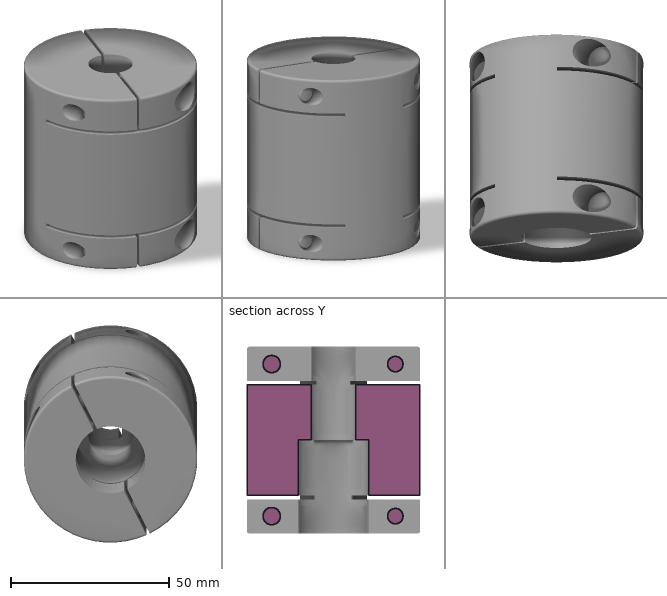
import cadquery as cq

length = 59.0
outer_diameter = 54.8
rim_fillet = 0.8

upper_bore_diameter = 14.0
lower_bore_diameter = 22.0

clamp_height = 10.8
slit_width = 1.2
slot_height = 1.2
web_waist_half_width = 5.0
slot_wall_radius = 60.0

screw_offset = 19.5
screw_to_end = 5.5
head_hole_diameter = 9.0
head_seat_y = 10.05
thread_hole_diameter = 5.6
thread_hole_floor_y = -15.6
screw_diameter = 5.0
screw_tip_length = 0.7
screw_tip_chamfer = 0.5

half_length = length / 2
outer_radius = outer_diameter / 2
slot_wall_center = web_waist_half_width + slot_wall_radius


def rod_along_y(diameter, x, z, y_start, y_end):
    """Round rod parallel to Y between two Y positions."""
    base = cq.Workplane("XZ", origin=(x, y_start, z))
    return base.circle(diameter / 2).extrude(y_start - y_end)


def make_body():
    """Round body with rounded rims and a stepped bore."""
    body = cq.Workplane("XY").circle(outer_radius).extrude(length)
    body = body.translate((0, 0, -half_length)).edges().fillet(rim_fillet)
    upper_bore = cq.Workplane("XY").circle(upper_bore_diameter / 2).extrude(half_length)
    lower_bore = cq.Workplane("XY").circle(lower_bore_diameter / 2).extrude(-half_length)
    return body.cut(upper_bore).cut(lower_bore)


def cut_clamp(body, end):
    """Slit one end (+1 upper, -1 lower) and undercut it on both sides of the web."""
    slit_z = end * (half_length - clamp_height / 2)
    slit = cq.Workplane("XY").box(outer_diameter, slit_width, clamp_height)
    body = body.cut(slit.translate((0, 0, slit_z)))

    slot_z = end * (half_length - clamp_height - slot_height / 2)
    for side in (-1, 1):
        slot = cq.Workplane("XY").cylinder(slot_height, slot_wall_radius)
        body = body.cut(slot.translate((side * slot_wall_center, 0, slot_z)))
    return body


def fit_screw(body, x, z, shank_diameter):
    """Sink the head hole from +Y and the thread hole from -Y; the shank bridges the slit."""
    head_hole = rod_along_y(head_hole_diameter, x, z, head_seat_y, outer_radius)
    thread_hole = rod_along_y(thread_hole_diameter, x, z, -outer_radius, thread_hole_floor_y)
    shank = rod_along_y(shank_diameter, x, z, thread_hole_floor_y, head_seat_y)
    return body.cut(head_hole).cut(thread_hole).union(shank)


def add_screw_tip(body, x, z):
    """Chamfered screw end standing on the floor of the thread hole."""
    tip_end_y = thread_hole_floor_y - screw_tip_length
    tip = rod_along_y(screw_diameter, x, z, tip_end_y, thread_hole_floor_y)
    return body.union(tip.faces("<Y").chamfer(screw_tip_chamfer))


result = make_body()
for end in (-1, 1):
    result = cut_clamp(result, end)
    screw_z = end * (half_length - screw_to_end)
    result = fit_screw(result, -screw_offset, screw_z, screw_diameter)
    result = add_screw_tip(result, -screw_offset, screw_z)
    result = fit_screw(result, screw_offset, screw_z, thread_hole_diameter)